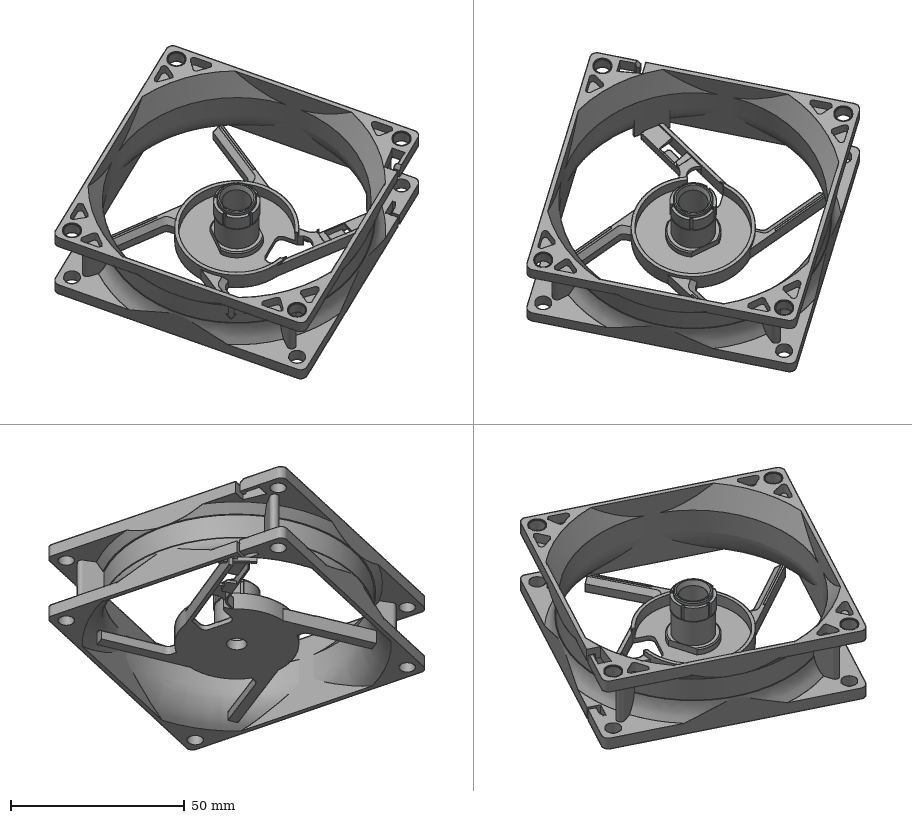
import cadquery as cq
import math

SIDE = 80.0
HEIGHT = 25.0
FLANGE = 4.0
CORNER_RADIUS = 2.1
OVERCUT = 0.8

THROAT_BOTTOM = 10.0
THROAT_TOP = 18.0
THROAT_RADIUS = 38.7
MOUTH_RADIUS = 42.9
THROAT_OUTER_RADIUS = 39.7
BELL_TOP_RADIUS = 39.9
CONE_START_RADIUS = 40.1
CONE_OUTER_RADIUS = 42.0
BELL_OUTER_RADIUS = 43.0
DUCT_HALF_WIDTH = 38.6
BELL_BULGE = 0.6
BELL_INNER_BULGE = 1.5
BELL_MOUTH_RADIUS = 44.6

HOLE_OFFSET = 35.8
HOLE_RADIUS = 2.4
HOLE_RECESS = 0.3
RIB_RADIUS = 1.4
RIB_END_OFFSET = 32.5
POCKET_DEPTH = 3.3
POCKET_CORNERS = [(-33.0, 38.4), (-24.2, 38.4), (-29.1, 33.4)]
POCKET_ROUNDING = 1.0

HOOK_TIP_X = 38.1
HOOK_END_Y = 25.4
CLIP_OUTLINE = [(34.9, 31.3), (38.9, 31.3), (38.9, 26.8), (HOOK_TIP_X, 26.2), (HOOK_TIP_X, HOOK_END_Y),
                (SIDE / 2 + OVERCUT, HOOK_END_Y), (SIDE / 2 + OVERCUT, 23.9), (35.8, 23.9)]
CLIP_LOWER_OUTLINE = [(35.9, 29.3), (36.8, 29.3), (37.5, 27.4), (37.5, 25.3),
                      (SIDE / 2 + OVERCUT, 25.3), (SIDE / 2 + OVERCUT, 24.4), (35.9, 24.4)]
HOOK_RAMP_START = 26.6
HOOK_RAMP_DROP = 1.2

HUB_RADIUS = 17.9
HUB_WALL = 1.1
HUB_HEIGHT = 5.5
HUB_FLOOR = 1.6
COLLAR_RADIUS = 8.0
COLLAR_TOP = 3.8
COLLAR_FLAT = 6.6
COLLAR_CHAMFER = 0.4
POST_RADIUS = 6.5
POST_TOP = 19.0
SHOULDER_Z = 17.8
RING_BOTTOM = 12.7
RING_RADIUS = 6.7
GROOVE_COUNT = 5
FIRST_GROOVE_ANGLE = 45.0
GROOVE_WIDTH = 1.0
GROOVE_FLOOR = 6.1
NECK_RADIUS = 5.8
NECK_CHAMFER = 0.3
BORE_RADIUS = 4.2
BORE_MOUTH_RADIUS = 5.0
BORE_MOUTH_DEPTH = 1.6
BORE_FLOOR = 3.2
SHAFT_RADIUS = 3.0

STRUT_ANGLE = 144.7
STRUT_OUTER = 16.2
STRUT_INNER = 13.1
STRUT_HEIGHT = 4.3
LIP_HEIGHT = 4.5
LIP_WIDTH = 0.6
LIP_START = 17.6
BEVEL_BOTTOM = 2.9
BEVEL_WIDTH = 1.8
ELBOW_RADIUS = 2.0
STRUT_FOOT_X = -5.4
STRUT_REACH = 36.8

CABLE_ANGLE = 53.7
CABLE_OUTER = 17.5
CABLE_WALL = 16.3
CABLE_INNER = 11.2
CABLE_LIP = 11.7
CABLE_HEIGHT = 4.6
ARM_TOP = 3.9
PLATE_BOTTOM = 2.6
HOLLOW_START = 16.0
CHANNEL_START = 20.2
CHANNEL_LOW = 2.9
CHANNEL_HIGH = 4.1
CABLE_WINDOW = (22.4, 29.1)
CABLE_TONGUE = (23.4, 28.3)
CABLE_TONGUE_SIDE = 14.6
TONGUE_ROUNDING = 0.8
TONGUE_TOP = 1.0
ARM_Y = 8.6
KNEE_RADIUS = 4.0
OPENING_X = (10.5, 16.6)
OPENING_Y = (-4.9, 5.8)
OPENING_ARCH_START = (18.2, 6.6)
OPENING_ARCH_TOP = (21.3, 5.8)
OPENING_WALL_SPAN = (5.9, 15.8)
OPENING_ROUNDING = 2.0
APRON_ANGLES = (23.7, 39.8)
APRON_BOTTOM = 1.9

ARROW_DOWN = (5.4, 0.7, 1.4, 2.2)
ARROW_DOWN_TAIL = (15.3, 17.0)
ARROW_ACROSS = (4.9, 0.8, 1.4, 2.1)
ARROW_ACROSS_TAIL = (18.8, 15.0)
ARROW_RELIEF = 0.2


def prism(points, bottom, top):
    return cq.Workplane("XY").workplane(offset=bottom).polyline(points).close().extrude(top - bottom)


def disc(radius, bottom, top):
    return cq.Workplane("XY").workplane(offset=bottom).circle(radius).extrude(top - bottom)


def square(side, bottom, top):
    return cq.Workplane("XY").workplane(offset=bottom).rect(side, side).extrude(top - bottom)


def bulge_point(start, end, bulge):
    """Middle of an arc that sags towards the axis from its chord."""
    dx = end[0] - start[0]
    dz = end[1] - start[1]
    length = math.hypot(dx, dz)
    return ((start[0] + end[0]) / 2 - bulge * abs(dz) / length,
            (start[1] + end[1]) / 2 - bulge * abs(dx) / length)


def duct_outside():
    bell_top = (BELL_TOP_RADIUS, THROAT_BOTTOM)
    bell_end = (BELL_OUTER_RADIUS, FLANGE)
    body = (
        cq.Workplane("XZ")
        .moveTo(0, FLANGE)
        .lineTo(*bell_end)
        .threePointArc(bulge_point(bell_end, bell_top, BELL_BULGE), bell_top)
        .lineTo(THROAT_OUTER_RADIUS, THROAT_BOTTOM)
        .lineTo(THROAT_OUTER_RADIUS, THROAT_TOP)
        .lineTo(CONE_START_RADIUS, THROAT_TOP)
        .lineTo(CONE_OUTER_RADIUS, HEIGHT - FLANGE)
        .lineTo(0, HEIGHT - FLANGE)
        .close()
        .revolve(360, (0, 0, 0), (0, 1, 0))
    )
    return body.intersect(square(SIDE, 0, HEIGHT))


def duct_inside():
    bell_end = (BELL_MOUTH_RADIUS, 0)
    bell_top = (THROAT_RADIUS, THROAT_BOTTOM)
    body = (
        cq.Workplane("XZ")
        .lineTo(*bell_end)
        .threePointArc(bulge_point(bell_end, bell_top, BELL_INNER_BULGE), bell_top)
        .lineTo(THROAT_RADIUS, THROAT_TOP)
        .lineTo(MOUTH_RADIUS, HEIGHT)
        .lineTo(0, HEIGHT)
        .close()
        .revolve(360, (0, 0, 0), (0, 1, 0))
    )
    return body.intersect(square(2 * DUCT_HALF_WIDTH, 0, HEIGHT))


def corner_rib(angle):
    """Radial web from the duct to a rounded end beside a screw hole."""
    end = RIB_END_OFFSET * math.sqrt(2)
    start = THROAT_RADIUS
    web = cq.Workplane("XY").center((start + end) / 2, 0).rect(end - start, 2 * RIB_RADIUS).extrude(HEIGHT)
    tip = disc(RIB_RADIUS, 0, HEIGHT).translate((end, 0, 0))
    return web.union(tip).rotate((0, 0, 0), (0, 0, 1), angle)


def frame():
    flange = square(SIDE, 0, FLANGE).edges("|Z").fillet(CORNER_RADIUS)
    body = duct_outside().union(flange).union(flange.translate((0, 0, HEIGHT - FLANGE)))
    for quarter in range(4):
        body = body.union(corner_rib(45 + 90 * quarter).intersect(square(SIDE, FLANGE, HEIGHT - FLANGE)))
    return body.cut(duct_inside())


def screw_holes():
    spacing = 2 * HOLE_OFFSET
    holes = cq.Workplane("XY").rect(spacing, spacing, forConstruction=True).vertices().circle(HOLE_RADIUS)
    mouths = (
        cq.Workplane("XY").workplane(offset=HEIGHT - HOLE_RECESS)
        .rect(spacing, spacing, forConstruction=True).vertices()
        .circle(HOLE_RADIUS + HOLE_RECESS).extrude(HOLE_RECESS)
    )
    return holes.extrude(HEIGHT).union(mouths)


def pockets():
    """Two mirrored triangular pockets per corner, one left out where the cable clip sits."""
    bottom = HEIGHT - POCKET_DEPTH
    one = prism(POCKET_CORNERS, bottom, HEIGHT).edges("|Z").fillet(POCKET_ROUNDING)
    diagonal_twin = one.mirror("XZ").rotate((0, 0, 0), (0, 0, 1), -90)
    left = one.union(diagonal_twin)
    left = left.union(left.mirror("XZ"))
    right = one.union(one.mirror("XZ")).union(diagonal_twin.mirror("XZ")).mirror("YZ")
    return left.union(right)


def cable_clip():
    """Slots in both flanges that leave a hook with a sloping top in the upper one."""
    upper = prism(CLIP_OUTLINE, HEIGHT - FLANGE, HEIGHT)
    lower = prism(CLIP_LOWER_OUTLINE, 0, FLANGE)
    ramp = (
        cq.Workplane("YZ").workplane(offset=HOOK_TIP_X)
        .moveTo(HOOK_RAMP_START, HEIGHT)
        .lineTo(HOOK_END_Y, HEIGHT)
        .lineTo(HOOK_END_Y, HEIGHT - HOOK_RAMP_DROP)
        .close()
        .extrude(SIDE / 2)
    )
    return upper.union(lower).union(ramp)


def hub():
    """Motor cup with a flatted collar and a bored bearing post."""
    cup = disc(HUB_RADIUS, 0, HUB_HEIGHT).cut(disc(HUB_RADIUS - HUB_WALL, HUB_FLOOR, HUB_HEIGHT))
    flats = cq.Workplane("XY").rect(2 * COLLAR_FLAT, 4 * COLLAR_RADIUS).extrude(COLLAR_TOP)
    flats = flats.rotate((0, 0, 0), (0, 0, 1), 45)
    collar = disc(COLLAR_RADIUS, 0, COLLAR_TOP).faces(">Z").chamfer(COLLAR_CHAMFER).intersect(flats)
    post = disc(POST_RADIUS, 0, SHOULDER_Z)
    neck = disc(NECK_RADIUS, SHOULDER_Z, POST_TOP).faces(">Z").chamfer(NECK_CHAMFER)
    body = cup.union(collar).union(post).union(neck)
    body = body.union(disc(RING_RADIUS, RING_BOTTOM, SHOULDER_Z))
    groove = (
        cq.Workplane("XY").workplane(offset=RING_BOTTOM)
        .center(GROOVE_FLOOR + RING_RADIUS / 2, 0).rect(RING_RADIUS, GROOVE_WIDTH)
        .extrude(SHOULDER_Z - RING_BOTTOM)
    )
    for index in range(GROOVE_COUNT):
        body = body.cut(groove.rotate((0, 0, 0), (0, 0, 1), FIRST_GROOVE_ANGLE + 360 / GROOVE_COUNT * index))
    bore = disc(BORE_RADIUS, BORE_FLOOR, POST_TOP)
    bore_mouth = cq.Workplane(obj=cq.Solid.makeCone(
        BORE_RADIUS, BORE_MOUTH_RADIUS, BORE_MOUTH_DEPTH, pnt=cq.Vector(0, 0, POST_TOP - BORE_MOUTH_DEPTH)))
    return body.cut(bore).cut(bore_mouth).cut(disc(SHAFT_RADIUS, 0, POST_TOP))


def along(angle, distance, offset):
    """Point at a distance along a strut direction and an offset to its right."""
    a = math.radians(angle)
    return (distance * math.cos(a) + offset * math.sin(a),
            distance * math.sin(a) - offset * math.cos(a))


def strut_bar(angle, span, sides, bottom, top):
    """Straight bar along a strut direction, given as distance and offset ranges."""
    corners = [(span[0], sides[0]), (span[1], sides[0]), (span[1], sides[1]), (span[0], sides[1])]
    return prism([along(angle, distance, offset) for distance, offset in corners], bottom, top)


def line_y(angle, offset, x):
    """Height y at which the line of a strut side passes a given x."""
    a = math.radians(angle)
    return x * math.tan(a) - offset / math.cos(a)


def plain_strut_layer(inset, bottom, top):
    """Strut outline, its inner side and foot moved in by an inset, from hub axis to duct."""
    inner = STRUT_INNER + inset
    foot_x = STRUT_FOOT_X + inset
    elbow = (foot_x, line_y(STRUT_ANGLE, inner, foot_x))
    outline = [
        along(STRUT_ANGLE, 0, STRUT_OUTER),
        along(STRUT_ANGLE, STRUT_REACH, STRUT_OUTER),
        along(STRUT_ANGLE, STRUT_REACH, inner),
        elbow,
        (foot_x, 0),
        (0, 0),
    ]
    layer = prism(outline, bottom, top)
    at_elbow = cq.selectors.NearestToPointSelector((*elbow, (bottom + top) / 2))
    return layer.edges(at_elbow).fillet(ELBOW_RADIUS)


def plain_strut():
    """Beam from the hub to the duct with a rounded elbow and a bevelled inner side."""
    lower = plain_strut_layer(0, 0, BEVEL_BOTTOM)
    base_wire = lower.faces(">Z").wires().val()
    upper = plain_strut_layer(BEVEL_WIDTH, BEVEL_BOTTOM, STRUT_HEIGHT)
    top_wire = upper.faces(">Z").wires().val()
    bevel = cq.Workplane(obj=cq.Solid.makeLoft([base_wire, top_wire], True))
    lip_sides = (STRUT_OUTER - LIP_WIDTH, STRUT_OUTER)
    lip = strut_bar(STRUT_ANGLE, (LIP_START, STRUT_REACH), lip_sides, 0, LIP_HEIGHT)
    return lower.union(bevel).union(lip)


def cable_opening():
    """Opening through the hub floor, the hub rim and the root of the cable strut."""
    left, right = OPENING_X
    bottom, top = OPENING_Y
    wall_bottom = along(CABLE_ANGLE, OPENING_WALL_SPAN[0], CABLE_WALL)
    wall_top = along(CABLE_ANGLE, OPENING_WALL_SPAN[1], CABLE_WALL)
    body = (
        cq.Workplane("XY")
        .moveTo(left, bottom)
        .lineTo(left, top)
        .lineTo(right, top)
        .lineTo(*OPENING_ARCH_START)
        .threePointArc(OPENING_ARCH_TOP, wall_top)
        .lineTo(*wall_bottom)
        .close()
        .extrude(HUB_HEIGHT + OVERCUT)
    )
    return body.edges("|Z and <X").fillet(OPENING_ROUNDING)


def cable_outline(inner, outer, arm_y):
    """Broad strut between two offsets, with an arm along a line of constant y to the hub axis."""
    a = math.radians(CABLE_ANGLE)
    knee_distance = (arm_y + inner * math.cos(a)) / math.sin(a)
    return [
        (0, 0),
        along(CABLE_ANGLE, 0, outer),
        along(CABLE_ANGLE, STRUT_REACH, outer),
        along(CABLE_ANGLE, STRUT_REACH, inner),
        along(CABLE_ANGLE, knee_distance, inner),
        (0, arm_y),
    ]


def cable_body(inner, outer, arm_y, top):
    """Cable strut outline with a rounded knee, extruded up from the bottom face."""
    outline = cable_outline(inner, outer, arm_y)
    knee = outline[4]
    at_knee = cq.selectors.NearestToPointSelector((*knee, top / 2))
    return prism(outline, 0, top).edges(at_knee).fillet(KNEE_RADIUS)


def channel_space():
    """Space above the channel floor, which slopes up from the inner side to the outer wall."""
    section = [(CABLE_INNER, CHANNEL_LOW), (CABLE_WALL, CHANNEL_HIGH),
               (CABLE_WALL, HEIGHT), (CABLE_INNER, HEIGHT)]
    run = STRUT_REACH - CHANNEL_START
    space = cq.Workplane("XZ").polyline(section).close().extrude(-run)
    start = along(CABLE_ANGLE, CHANNEL_START, 0)
    return space.rotate((0, 0, 0), (0, 0, 1), CABLE_ANGLE - 90).translate((*start, 0))


def cable_strut():
    """Broad strut with an arm, a sloping cable channel, a window and a clamping tongue."""
    skin = CABLE_LIP - CABLE_INNER
    body = cable_body(CABLE_INNER, CABLE_OUTER, ARM_Y, CABLE_HEIGHT)
    hollow = cable_body(CABLE_LIP, CABLE_WALL, ARM_Y - skin, PLATE_BOTTOM)
    hollow = hollow.intersect(strut_bar(CABLE_ANGLE, (HOLLOW_START, STRUT_REACH), (0, CABLE_WALL), 0, HEIGHT))
    arm_space = strut_bar(CABLE_ANGLE, (0, CHANNEL_START), (0, CABLE_WALL), ARM_TOP, HEIGHT)
    body = body.cut(hollow).cut(arm_space).cut(channel_space())
    body = body.cut(strut_bar(CABLE_ANGLE, CABLE_WINDOW, (CABLE_LIP, CABLE_WALL), 0, HEIGHT))
    tongue = strut_bar(CABLE_ANGLE, CABLE_TONGUE, (CABLE_INNER, CABLE_TONGUE_SIDE), 0, TONGUE_TOP)
    for distance in CABLE_TONGUE:
        tip = (*along(CABLE_ANGLE, distance, CABLE_TONGUE_SIDE), TONGUE_TOP / 2)
        tongue = tongue.edges(cq.selectors.NearestToPointSelector(tip)).fillet(TONGUE_ROUNDING)
    return body.union(tongue)


def apron():
    """Stretch of throat wall that reaches down to the cable strut."""
    sector = prism([(0, 0)] + [along(angle, SIDE, 0) for angle in APRON_ANGLES], APRON_BOTTOM, THROAT_BOTTOM)
    ring = disc(THROAT_OUTER_RADIUS, 0, HEIGHT).cut(disc(THROAT_RADIUS, 0, HEIGHT))
    return ring.intersect(sector).intersect(square(SIDE, 0, HEIGHT))


def arrow(length, half_shaft, half_head, head_length):
    """Flat arrow outline from its tail at the origin towards +X."""
    neck = length - head_length
    return [(0, -half_shaft), (neck, -half_shaft), (neck, -half_head), (length, 0),
            (neck, half_head), (neck, half_shaft), (0, half_shaft)]


def flow_arrows():
    """Shallow raised arrows for flow and rotation on the -Y side of the throat."""
    down = cq.Workplane("XZ").polyline(arrow(*ARROW_DOWN)).close().extrude(SIDE / 2)
    down = down.rotate((0, 0, 0), (0, 1, 0), 90).translate((ARROW_DOWN_TAIL[0], 0, ARROW_DOWN_TAIL[1]))
    across = cq.Workplane("XZ").polyline(arrow(*ARROW_ACROSS)).close().extrude(SIDE / 2)
    across = across.translate((ARROW_ACROSS_TAIL[0], 0, ARROW_ACROSS_TAIL[1]))
    skin = disc(THROAT_OUTER_RADIUS + ARROW_RELIEF, 0, HEIGHT)
    skin = skin.cut(disc((THROAT_RADIUS + THROAT_OUTER_RADIUS) / 2, 0, HEIGHT))
    return down.union(across).intersect(skin)


struts = cable_strut()
for quarter in range(3):
    struts = struts.union(plain_strut().rotate((0, 0, 0), (0, 0, 1), 90 * quarter))
struts = struts.cut(disc(HUB_RADIUS - HUB_WALL / 2, 0, HEIGHT))

result = frame().union(struts).union(apron()).union(hub()).union(flow_arrows())
result = result.cut(screw_holes()).cut(pockets()).cut(cable_clip()).cut(cable_opening())